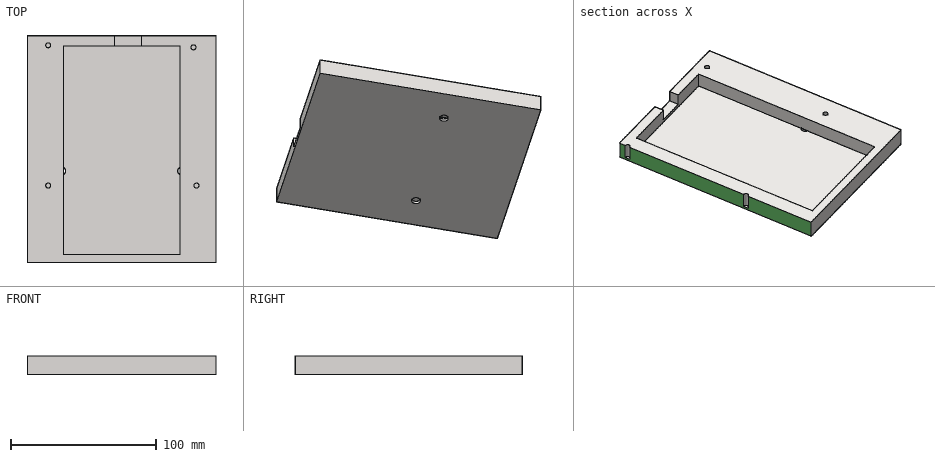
import cadquery as cq

width = 129.9
length = 156.1
height = 13.0

pocket_width = 79.9
pocket_front = -72.3
pocket_back = 71.0
pocket_depth = 10.8

notch_left = -5.2
notch_right = 13.7
notch_depth = 8.5

rim_hole_diameter = 3.5
rim_hole_depth = 10.8
rim_hole_centres = [(-50.5, 71.5), (49.3, 70.1), (-50.5, -25.0), (51.4, -25.0)]

floor_hole_diameter = 6.0
floor_hole_y = -15.0
floor_hole_centres_x = (-41.7, 41.5)

floor_thickness = height - pocket_depth


def box_between(x_range, y_range, z_range):
    """Box spanning the given lower and upper limits on each axis."""
    sizes = [high - low for low, high in (x_range, y_range, z_range)]
    corner = (x_range[0], y_range[0], z_range[0])
    return cq.Workplane("XY").box(*sizes, centered=False).translate(corner)


def vertical_holes(centres, diameter, bottom, depth):
    """Cylinders rising from the given bottom level."""
    return cq.Workplane("XY").workplane(offset=bottom).pushPoints(centres).circle(diameter / 2).extrude(depth)


plate = cq.Workplane("XY").box(width, length, height, centered=(True, True, False))

pocket_x_range = (-pocket_width / 2, pocket_width / 2)
pocket_y_range = (pocket_front, pocket_back)
pocket = box_between(pocket_x_range, pocket_y_range, (floor_thickness, height))

notch = box_between(
    (notch_left, notch_right),
    (pocket_back, length / 2),
    (height - notch_depth, height),
)

rim_holes = vertical_holes(rim_hole_centres, rim_hole_diameter, height - rim_hole_depth, rim_hole_depth)

floor_hole_centres = [(x, floor_hole_y) for x in floor_hole_centres_x]
floor_holes = vertical_holes(floor_hole_centres, floor_hole_diameter, 0, floor_thickness)

result = plate.cut(pocket).cut(notch).cut(rim_holes).cut(floor_holes)